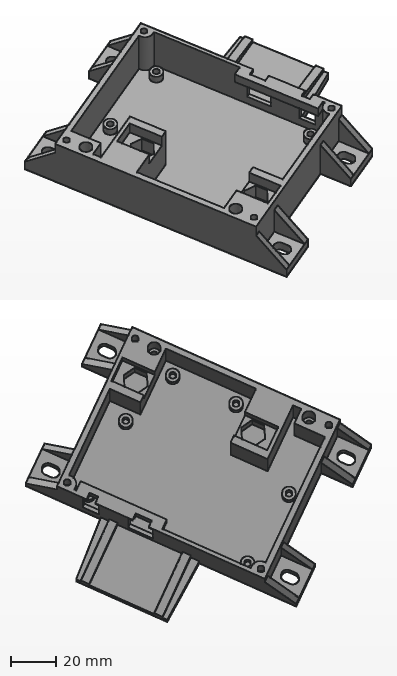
import cadquery as cq
import math

overall_length = 132.0
box_length = 101.4
box_depth = 80.0
height = 25.9
floor_thickness = 3.2
wall = 2.8
back_wall = 1.8
half_length = box_length / 2

tab_depth = 20.0
tab_thickness = 5.0
rib_top = 19.8
front_rib = 2.8
back_rib = 3.2
slot_length = 8.3
slot_width = 5.5

tongue_center_x = 5.3
tongue_reach = 30.2
tongue_thickness = 4.1
tongue_root_width = 48.0
tongue_tip_width = 44.5
ridge_span = 39.9
ridge_width = 4.1
ridge_root_top = 7.9
ridge_tip_top = 5.8

back_boss_length = 7.7
back_boss_depth = 6.9
back_boss_round = 4.0
corner_block_length = 17.7
corner_block_depth = 10.0
pin_hole_diameter = 3.0
pin_hole_depth = 10.0
pin_x = 47.3
pin_front_y = 4.4
pin_back_y = 76.5
screw_x = 37.8
screw_y = 4.9
screw_diameter = 3.0
screw_head_diameter = 5.8
screw_head_depth = 11.9

holder_depth = 29.8
left_holder_x = (-29.0, -11.0)
right_holder_x = (33.0, half_length)
terminal_seat_width = 11.7
terminal_seat_depth = 6.1
terminal_seat_wall = 1.8
nut_y = 20.3
nut_across_flats = 10.3
nut_depth = 7.9
left_nut_x = -17.7
right_nut_x = 39.6

post_diameter = 6.2
post_hole_diameter = 3.0
post_height = 4.0
post_places = [
    (-38.8, 72.5),
    (38.7, 73.0),
    (-42.2, 35.9),
    (37.4, 35.9),
    (-3.8, 8.5),
    (27.0, 8.5),
]

lip_x = (0.1, 42.1)
lip_reach = 6.5
lip_thickness = 5.1
window_bottom = 7.9
window_top = 24.4
notch_depth = 3.3
wire_openings = [(9.9, 12.0, 7.8), (34.2, 7.9, 4.2)]


def block(x_range, y_range, z_range):
    """Box between pairs of limits along X, Y and Z."""
    size = [high - low for low, high in (x_range, y_range, z_range)]
    corner = (x_range[0], y_range[0], z_range[0])
    return cq.Workplane("XY").box(*size, centered=False).translate(corner)


def drill(x, y, top, diameter, depth):
    """Cylinder that reaches down from a given height."""
    return cq.Workplane("XY", origin=(x, y, top)).circle(diameter / 2).extrude(-depth)


def make_shell():
    outside = block((-half_length, half_length), (0, box_depth), (0, height))
    cavity = block(
        (wall - half_length, half_length - wall),
        (wall, box_depth - back_wall),
        (floor_thickness, height),
    )
    return outside.cut(cavity)


def make_tab(front_y):
    """Left-hand tab with a slot between two sloping ribs."""
    tip_x = -overall_length / 2
    back_y = front_y + tab_depth
    tab = block((tip_x, -half_length), (front_y, back_y), (0, tab_thickness))
    rib_outline = [(tip_x, 0), (-half_length, 0), (-half_length, rib_top), (tip_x, tab_thickness)]
    for rib_back_y, thickness in ((front_y + front_rib, front_rib), (back_y, back_rib)):
        rib_plane = cq.Workplane("XZ", origin=(0, rib_back_y, 0))
        tab = tab.union(rib_plane.polyline(rib_outline).close().extrude(thickness))
    slot_center = ((tip_x - half_length) / 2, front_y + tab_depth / 2)
    slot = cq.Workplane("XY").center(*slot_center).slot2D(slot_length, slot_width).extrude(tab_thickness)
    return tab.cut(slot)


def make_tongue():
    """Tapered plate with two ridges that slope down towards its tip."""
    tip_y = box_depth + tongue_reach
    half_root = tongue_root_width / 2
    half_tip = tongue_tip_width / 2
    tongue = (
        cq.Workplane("XY")
        .polyline([(-half_root, box_depth), (half_root, box_depth), (half_tip, tip_y), (-half_tip, tip_y)])
        .close()
        .extrude(tongue_thickness)
    )
    ridge_outline = [(box_depth, 0), (tip_y, 0), (tip_y, ridge_tip_top), (box_depth, ridge_root_top)]
    for ridge_x in (-ridge_span / 2, ridge_span / 2 - ridge_width):
        ridge_plane = cq.Workplane("YZ", origin=(ridge_x, 0, 0))
        tongue = tongue.union(ridge_plane.polyline(ridge_outline).close().extrude(ridge_width))
    return tongue.translate((tongue_center_x, 0, 0))


def make_back_boss():
    """Left-hand boss in the back corner, rounded towards the cavity."""
    boss = block(
        (-half_length, back_boss_length - half_length),
        (box_depth - back_boss_depth, box_depth),
        (0, height),
    )
    return boss.edges("|Z and >X and <Y").fillet(back_boss_round)


def make_holder(x_range, seat_x_range, nut_x):
    """Block with an open-ended terminal seat and a hexagonal nut pocket below it."""
    holder = block(x_range, (0, holder_depth), (0, height))
    seat_z = height - terminal_seat_depth
    seat_y_range = (nut_y - terminal_seat_width / 2, nut_y + terminal_seat_width / 2)
    seat = block(seat_x_range, seat_y_range, (seat_z, height))
    nut_across_corners = nut_across_flats / math.cos(math.pi / 6)
    nut_plane = cq.Workplane("XY", origin=(nut_x, nut_y, seat_z))
    nut_pocket = nut_plane.polygon(6, nut_across_corners).extrude(-nut_depth)
    return holder.cut(seat).cut(nut_pocket)


def make_post(x, y):
    top = floor_thickness + post_height
    post = drill(x, y, top, post_diameter, post_height)
    return post.cut(drill(x, y, top, post_hole_diameter, post_height))


def make_wire_opening(center_x, window_width, notch_width):
    """Window through the back wall, joined to a notch through the rim and lip."""
    window = block(
        (center_x - window_width / 2, center_x + window_width / 2),
        (box_depth - back_wall, box_depth),
        (window_bottom, window_top),
    )
    notch = block(
        (center_x - notch_width / 2, center_x + notch_width / 2),
        (box_depth - notch_depth, box_depth),
        (height - lip_thickness, height),
    )
    return window.union(notch)


result = make_shell()
left_parts = [make_tab(0), make_tab(box_depth - tab_depth), make_back_boss()]
for left_part in left_parts:
    result = result.union(left_part).union(left_part.mirror("YZ"))
result = result.union(make_tongue())

corner_x_range = (-half_length, corner_block_length - half_length)
result = result.union(block(corner_x_range, (0, corner_block_depth), (0, height)))
left_seat_x = (left_holder_x[0] + terminal_seat_wall, left_holder_x[1])
right_seat_x = (right_holder_x[0], right_holder_x[1] - terminal_seat_wall)
result = result.cut(block(right_holder_x, (0, holder_depth), (floor_thickness, height)))
result = result.union(make_holder(left_holder_x, left_seat_x, left_nut_x))
result = result.union(make_holder(right_holder_x, right_seat_x, right_nut_x))

for post_x, post_y in post_places:
    result = result.union(make_post(post_x, post_y))

lip = block(lip_x, (box_depth - lip_reach, box_depth), (height - lip_thickness, height))
result = result.union(lip)
for opening in wire_openings:
    result = result.cut(make_wire_opening(*opening))

for side in (-1, 1):
    for pin_y in (pin_front_y, pin_back_y):
        result = result.cut(drill(side * pin_x, pin_y, height, pin_hole_diameter, pin_hole_depth))
    result = result.cut(drill(side * screw_x, screw_y, height, screw_diameter, height))
    result = result.cut(drill(side * screw_x, screw_y, height, screw_head_diameter, screw_head_depth))